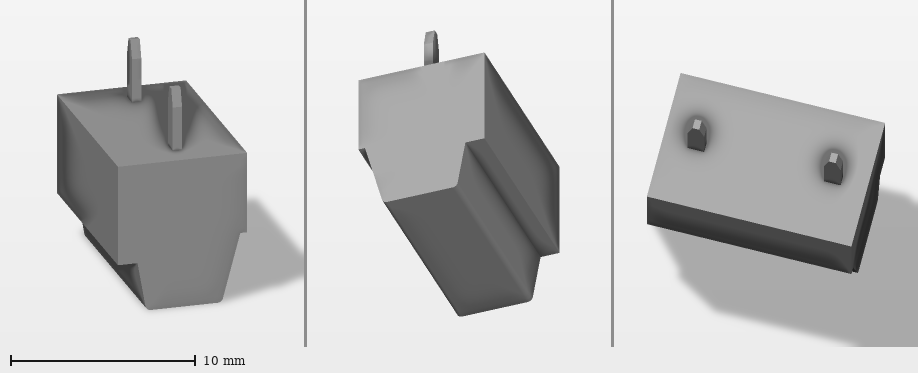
import cadquery as cq

width = 11.42
depth = 7.3
total_height = 12.0
pin_length = 3.5
housing_height = total_height - pin_length

front_shoulder_height = 2.8
front_shoulder_depth = 1.1
back_shoulder_height = 3.9
back_shoulder_depth = 0.38

front_lean = 0.49
back_lean = 1.05
nose_edge_radius = 0.3

pin_pitch = 7.62
pin_width = 0.92
pin_thickness = 0.53
pin_y = 0.15
tip_width = 0.37
tip_length = 1.0
pin_embed = 0.12


def make_housing():
    front = -depth / 2
    back = depth / 2
    nose_front = front + front_shoulder_depth
    nose_back = back - back_shoulder_depth
    block = (
        cq.Workplane("YZ")
        .polyline([
            (front, housing_height),
            (front, front_shoulder_height),
            (nose_front, front_shoulder_height),
            (nose_front + front_lean, 0),
            (nose_back - back_lean, 0),
            (nose_back, back_shoulder_height),
            (back, back_shoulder_height),
            (back, housing_height),
        ])
        .close()
        .extrude(width / 2, both=True)
    )
    return block.faces("<Z").edges("|X").fillet(nose_edge_radius)


def make_pin(x):
    """Flat pin centred at x, sunk slightly into the housing so the two fuse."""
    tip_start = total_height - tip_length
    root = housing_height - pin_embed
    return (
        cq.Workplane("XZ", origin=(x, pin_y, 0))
        .polyline([
            (-pin_width / 2, root),
            (pin_width / 2, root),
            (pin_width / 2, tip_start),
            (tip_width / 2, total_height),
            (-tip_width / 2, total_height),
            (-pin_width / 2, tip_start),
        ])
        .close()
        .extrude(pin_thickness / 2, both=True)
    )


result = make_housing()
for pin_x in (-pin_pitch / 2, pin_pitch / 2):
    result = result.union(make_pin(pin_x))